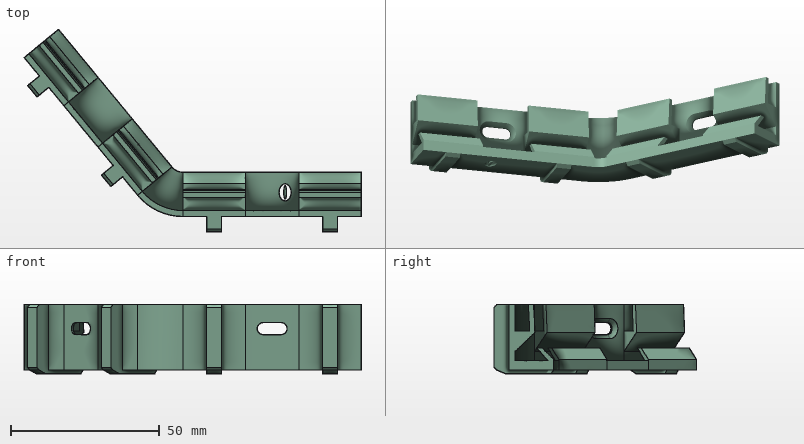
import cadquery as cq
import math

overall_length = 113.5
bend_angle = 50.5
depth = 15.0
wall_height = 22.1
wall_thickness = 2.0
shelf_thickness = 3.2

clip_length = 21.0
middle_length = 18.0
arm_length = 2 * clip_length + middle_length

bend_radians = math.radians(bend_angle)
outer_radius = (overall_length - arm_length * (1 + math.cos(bend_radians))) / math.sin(bend_radians)

lip_base_height = 3.6
lip_height = 7.5
lip_top_front = 11.1
lip_thickness = 1.9
brace_foot_height = 6.2
slot_floor_height = 13.2
hook_bulge_depth = 8.7
hook_bulge_height = 12.7
hook_top_front = 8.2
hook_top_back = 6.5
hook_root_back = 6.9

rib_width = 5.0
rib_depth = 5.1
foot_drop = 1.2
rib_top_chamfer = 1.0
rib_bottom_chamfer = 0.9
toe_length = 3.9
foot_end_setback = 0.9

screw_slot_length = 10.0
screw_slot_height = 4.0
screw_slot_level = 14.0
screw_slot_land = 0.7
screw_slot_flare_angle = 45

ring_along = 13.4
ring_across = 8.2
ring_width = 4.0
ring_length = 5.7
core_width = 1.0
core_length = 4.5

plain_profile = [
    (0, 0),
    (depth, 0),
    (depth, shelf_thickness),
    (wall_thickness, shelf_thickness),
    (wall_thickness, wall_height),
    (0, wall_height),
]


def extrude_along_arm(profile, start, length):
    """Extrude (depth, height) points along the arm from the given start."""
    return cq.Workplane("YZ").workplane(offset=start).polyline(profile).close().extrude(length)


def make_rib(center):
    """Back rib, bevelled into a toe, with a foot across the underside of the shelf."""
    profile = [
        (0, wall_height),
        (rib_top_chamfer - rib_depth, wall_height),
        (-rib_depth, wall_height - rib_top_chamfer),
        (-rib_depth, rib_bottom_chamfer),
        (rib_bottom_chamfer - rib_depth, 0),
        (toe_length - rib_depth, -foot_drop),
        (depth - foot_end_setback, -foot_drop),
        (depth, 0),
        (0, 0),
    ]
    return extrude_along_arm(profile, center - rib_width / 2, rib_width)


def make_clip(start):
    """Wall, shelf, inward-leaning lip and upright hook, with a rib halfway along."""
    profile = [
        (0, 0),
        (depth, 0),
        (depth, lip_base_height),
        (lip_top_front, lip_height),
        (lip_top_front - lip_thickness, lip_height),
        (depth - lip_thickness, shelf_thickness),
        (wall_thickness, shelf_thickness),
        (wall_thickness, brace_foot_height),
        (hook_bulge_depth, hook_bulge_height),
        (hook_top_front, wall_height),
        (hook_top_back, wall_height),
        (hook_root_back, slot_floor_height),
        (wall_thickness, slot_floor_height),
        (wall_thickness, wall_height),
        (0, wall_height),
    ]
    clip = extrude_along_arm(profile, start, clip_length)
    return clip.union(make_rib(start + clip_length / 2))


def make_screw_slot():
    """Straight through the outer part of the wall, then flaring towards the inside."""
    center_along = clip_length + middle_length / 2
    flare_depth = wall_thickness - screw_slot_land
    land = (
        cq.Workplane("XZ")
        .center(center_along, screw_slot_level)
        .slot2D(screw_slot_length, screw_slot_height)
        .extrude(-screw_slot_land)
    )
    flare = (
        cq.Workplane("XZ", origin=(0, screw_slot_land, 0))
        .center(center_along, screw_slot_level)
        .slot2D(screw_slot_length, screw_slot_height)
        .extrude(-flare_depth, taper=-screw_slot_flare_angle)
    )
    return land.union(flare)


def make_middle():
    """Plain wall and shelf with a screw slot through the wall."""
    return extrude_along_arm(plain_profile, clip_length, middle_length).cut(make_screw_slot())


def make_shelf_ellipse(width, length):
    return (
        cq.Workplane("XY")
        .center(clip_length + ring_along, ring_across)
        .ellipse(width / 2, length / 2)
        .extrude(shelf_thickness)
    )


def make_corner():
    """Wall and shelf swept round the bend, with its axis at the outer radius from the wall."""
    return (
        cq.Workplane("YZ")
        .polyline(plain_profile)
        .close()
        .revolve(bend_angle, (outer_radius, 0, 0), (outer_radius, -1, 0))
    )


def to_second_arm(body):
    """Mirror a body of the first arm and turn it to the other end of the bend."""
    axis_start = (0, outer_radius, 0)
    axis_end = (0, outer_radius, 1)
    return body.mirror("YZ").rotate(axis_start, axis_end, -bend_angle)


clip_starts = [0, clip_length + middle_length]
clips = []
for clip_start in clip_starts:
    clip = make_clip(clip_start)
    clips.append(clip)
    clips.append(to_second_arm(clip))

middle = make_middle()
ring_middle = middle.cut(make_shelf_ellipse(ring_width, ring_length))
plain_middle = to_second_arm(middle)
core = make_shelf_ellipse(core_width, core_length)
corner = make_corner()

result = cq.Compound.makeCompound(
    [
        *[clip.val() for clip in clips],
        ring_middle.val(),
        plain_middle.val(),
        core.val(),
        corner.val(),
    ]
)